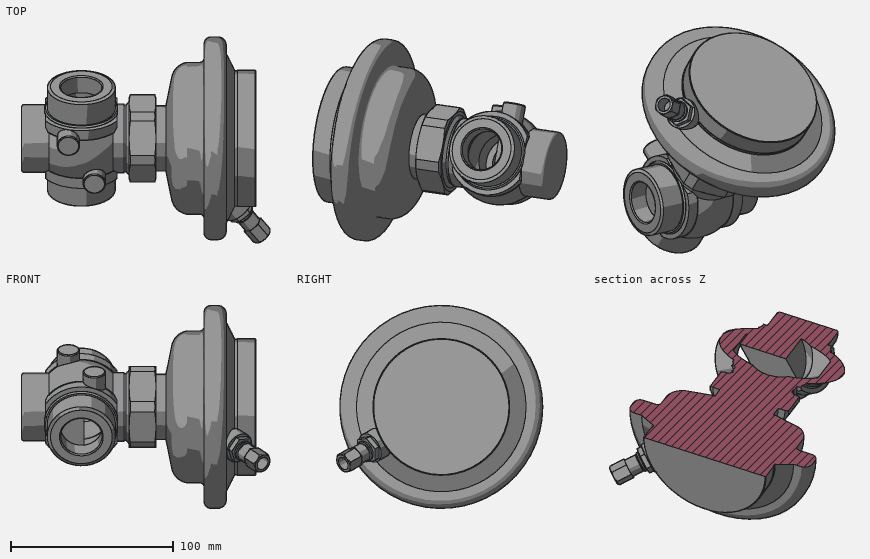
import cadquery as cq
import math

BRANCH_TILT = 30.0
tilt = math.radians(BRANCH_TILT)
BRANCH_DIR = cq.Vector(0, -math.cos(tilt), -math.sin(tilt))
BOSS_DIR = cq.Vector(0, -math.sin(tilt), math.cos(tilt))
X_DIR = cq.Vector(1, 0, 0)

BODY_RADIUS = 29.0
PORT_REACH = 36.9
PORT_RADIUS = 21.0
CAP_FILLET = 1.8
COLLAR_RADIUS = 26.0
COLLAR_INNER = 13.5
COLLAR_OUTER = 20.5
COLLAR_HALF_WIDTH = 22.0
SHOULDER_BASE_RADIUS = 23.0
SHOULDER_TOP_RADIUS = 22.0
SHOULDER_END = 21.6
PORT_CHAMFER_AXIAL = 0.8
PORT_CHAMFER_RADIAL = 2.0
BORE_RADIUS = 12.7
BORE_CHAMFER = 0.8
CHAMBER_RADIUS = 19.9
COUNTERBORE_RADIUS = 16.9
LIP_START = 25.1
SEAT_WALL_EDGE = 1.7
SEAT_WALL_FRONT = 24.5
SEAT_WALL_BACK = -3.0

BOSS_RADIUS = 6.9
BOSS_HEIGHT = 33.0
BOSS_X = 8.0
BOSS_OFFSET = 13.5
BOSS_CHAMFER = 0.6

NECK_RADIUS = 21.3
NECK_END = 26.2
GROOVE_RADIUS = 20.7
GROOVE_END = 27.5
NUT_START = 29.4
NUT_END = 46.0
NUT_SEAT_RADIUS = 22.7
NUT_FLATS = 50.0
NUT_TURN = 30.0
NUT_CORNER_FLATS = 54.0
NUT_CHAMFER_AXIAL = 1.0
NUT_CHAMFER_RADIUS = 24.8
STEM_RADIUS = 20.2

CASING_START = 52.2
CONE_START_RADIUS = 21.1
CONE_END = 55.6
CONE_END_RADIUS = 37.7
DOME_RADIUS = 46.9
DOME_END = 65.1
RIM_START = 75.5
RIM_END = 89.3
RIM_RADIUS = 125.2 / 2
RIM_FRONT_FILLET = 4.5
RIM_BACK_FILLET = 5.4
ROOT_FILLET = 2.5
BACK_CONE_RADIUS = 52.2
BACK_CONE_END = 94.4
COVER_RADIUS = 42.1
COVER_END = 107.5
COVER_CHAMFER = 0.5
COVER_GROOVE_RADIUS = 41.8
COVER_GROOVE_END = 96.0

NIPPLE_ANGLE = 53.0
NIPPLE_TIP_X = 111.7
NIPPLE_TIP_REACH = 69.7
NIPPLE_HEX_RADIUS = 6.6
NIPPLE_HEX_TURN = -16.0
NIPPLE_HEX_LENGTH = 10.5
NIPPLE_TIP_CHAMFER = 0.9
NIPPLE_BARREL_RADIUS = 5.7
NIPPLE_BARREL_END = 18.0
NIPPLE_NECK_RADIUS = 4.9
NIPPLE_RING_RADIUS = 6.5
NIPPLE_RING_START = 18.7
NIPPLE_RING_END = 19.9
NIPPLE_NUT_RADIUS = 8.6
NIPPLE_NUT_START = 20.5
NIPPLE_BASE_RADIUS = 9.5
NIPPLE_BASE_START = 23.9
NIPPLE_BASE_END = 32.2
NIPPLE_BORE_RADIUS = 4.1
NIPPLE_BORE_DEPTH = 9.2


def revolve_about_x(profile):
    """Turn a closed XY profile once around the X axis."""
    return profile.close().revolve(360, (0, 0, 0), (1, 0, 0))


def plane_along(direction, origin=cq.Vector(0, 0, 0)):
    """Workplane through origin, normal to direction, with local x near global X."""
    return cq.Workplane(cq.Plane(origin=origin, xDir=X_DIR, normal=direction))


def collar_disc(side):
    disc = (
        plane_along(BRANCH_DIR * side)
        .workplane(offset=COLLAR_INNER)
        .circle(COLLAR_RADIUS)
        .extrude(COLLAR_OUTER - COLLAR_INNER)
    )
    trim = cq.Workplane("XY").box(2 * COLLAR_HALF_WIDTH, 2 * PORT_REACH, 2 * PORT_REACH)
    return disc.intersect(trim)


def branch(side):
    """Shoulder and threaded end of one pipe branch."""
    shoulder_step = SHOULDER_BASE_RADIUS - SHOULDER_TOP_RADIUS
    cone_start = SHOULDER_END - shoulder_step
    profile = (
        cq.Workplane("XY")
        .moveTo(0, 0)
        .lineTo(0, PORT_RADIUS)
        .lineTo(COLLAR_OUTER, PORT_RADIUS)
        .lineTo(COLLAR_OUTER, SHOULDER_BASE_RADIUS)
        .lineTo(cone_start, SHOULDER_BASE_RADIUS)
        .lineTo(SHOULDER_END, SHOULDER_TOP_RADIUS)
        .lineTo(SHOULDER_END, PORT_RADIUS)
        .lineTo(PORT_REACH - PORT_CHAMFER_AXIAL, PORT_RADIUS)
        .lineTo(PORT_REACH, PORT_RADIUS - PORT_CHAMFER_RADIAL)
        .lineTo(PORT_REACH, 0)
    )
    turned = revolve_about_x(profile)
    along_minus_y = turned.rotate((0, 0, 0), (0, 0, 1), -90 * side)
    return along_minus_y.rotate((0, 0, 0), (1, 0, 0), BRANCH_TILT)


def boss(side):
    """Boss on the body; side +1 is the boss nearer the -Y branch."""
    centre = X_DIR * (BOSS_X * side) + BRANCH_DIR * (BOSS_OFFSET * side)
    return (
        plane_along(BOSS_DIR, centre)
        .circle(BOSS_RADIUS)
        .extrude(BOSS_HEIGHT)
        .faces(cq.selectors.DirectionMinMaxSelector(BOSS_DIR, True))
        .chamfer(BOSS_CHAMFER)
    )


def flow_passage():
    """Branch bores and the round chamber between, less the half wall left standing inside."""
    bore = plane_along(BRANCH_DIR).circle(BORE_RADIUS).extrude(PORT_REACH, both=True)
    for side in (1, -1):
        mouth = (
            plane_along(BRANCH_DIR * side, BRANCH_DIR * (side * (PORT_REACH - BORE_CHAMFER)))
            .circle(BORE_RADIUS)
            .workplane(offset=BORE_CHAMFER)
            .circle(BORE_RADIUS + BORE_CHAMFER)
            .loft()
        )
        bore = bore.union(mouth)
    wall = (
        plane_along(BRANCH_DIR, BRANCH_DIR * SEAT_WALL_BACK)
        .center(SEAT_WALL_EDGE - BODY_RADIUS / 2, 0)
        .rect(BODY_RADIUS, 2 * BODY_RADIUS)
        .extrude(SEAT_WALL_FRONT - SEAT_WALL_BACK)
    )
    counterbore = plane_along(BRANCH_DIR).circle(COUNTERBORE_RADIUS).extrude(LIP_START, both=True)
    chamber = cq.Workplane("XY").sphere(CHAMBER_RADIUS)
    return bore.union(counterbore).union(chamber).cut(wall)


def valve_body():
    cap = (
        cq.Workplane("YZ")
        .circle(PORT_RADIUS)
        .extrude(-PORT_REACH)
        .faces("<X")
        .edges()
        .fillet(CAP_FILLET)
    )
    body = cq.Workplane("XY").sphere(BODY_RADIUS)
    trim = cq.Workplane("XY").box(2 * COLLAR_HALF_WIDTH, 4 * BODY_RADIUS, 4 * BODY_RADIUS)
    body = body.intersect(trim).union(cap)
    for side in (1, -1):
        body = body.union(collar_disc(side)).union(branch(side)).union(boss(side))
    return body


def neck_and_stem():
    profile = (
        cq.Workplane("XY")
        .moveTo(0, 0)
        .lineTo(0, NECK_RADIUS)
        .lineTo(NECK_END, NECK_RADIUS)
        .lineTo(NECK_END, GROOVE_RADIUS)
        .lineTo(GROOVE_END, GROOVE_RADIUS)
        .lineTo(NUT_START, NUT_SEAT_RADIUS)
        .lineTo(NUT_START, STEM_RADIUS)
        .lineTo(CASING_START, STEM_RADIUS)
        .lineTo(CASING_START, 0)
    )
    return revolve_about_x(profile)


def union_nut():
    """Hexagon with its corners cut flat and both ends turned to a chamfer."""
    length = NUT_END - NUT_START
    base = cq.Workplane("YZ").workplane(offset=NUT_START)
    corner_cut = base.polygon(6, NUT_CORNER_FLATS, circumscribed=True).extrude(length)
    hexagon = (
        base.transformed(rotate=(0, 0, NUT_TURN))
        .polygon(6, NUT_FLATS, circumscribed=True)
        .extrude(length)
    )
    outer = NUT_CORNER_FLATS / 2 + NUT_CHAMFER_AXIAL
    turned = revolve_about_x(
        cq.Workplane("XY")
        .moveTo(NUT_START, 0)
        .lineTo(NUT_START, NUT_CHAMFER_RADIUS)
        .lineTo(NUT_START + NUT_CHAMFER_AXIAL, outer)
        .lineTo(NUT_END - NUT_CHAMFER_AXIAL, outer)
        .lineTo(NUT_END, NUT_CHAMFER_RADIUS)
        .lineTo(NUT_END, 0)
    )
    return hexagon.intersect(corner_cut).intersect(turned)


def casing():
    profile = (
        cq.Workplane("XY")
        .moveTo(CASING_START, 0)
        .lineTo(CASING_START, CONE_START_RADIUS)
        .lineTo(CONE_END, CONE_END_RADIUS)
        .tangentArcPoint((DOME_END, DOME_RADIUS), relative=False)
        .lineTo(RIM_START - ROOT_FILLET, DOME_RADIUS)
        .radiusArc((RIM_START, DOME_RADIUS + ROOT_FILLET), -ROOT_FILLET)
        .lineTo(RIM_START, RIM_RADIUS - RIM_FRONT_FILLET)
        .radiusArc((RIM_START + RIM_FRONT_FILLET, RIM_RADIUS), RIM_FRONT_FILLET)
        .lineTo(RIM_END - RIM_BACK_FILLET, RIM_RADIUS)
        .radiusArc((RIM_END, RIM_RADIUS - RIM_BACK_FILLET), RIM_BACK_FILLET)
        .lineTo(RIM_END, BACK_CONE_RADIUS)
        .lineTo(BACK_CONE_END, COVER_RADIUS)
        .lineTo(BACK_CONE_END, COVER_GROOVE_RADIUS)
        .lineTo(COVER_GROOVE_END, COVER_GROOVE_RADIUS)
        .lineTo(COVER_GROOVE_END, COVER_RADIUS)
        .lineTo(COVER_END - COVER_CHAMFER, COVER_RADIUS)
        .lineTo(COVER_END, COVER_RADIUS - COVER_CHAMFER)
        .lineTo(COVER_END, 0)
    )
    return revolve_about_x(profile)


def nipple_frame():
    """Plane at the nipple tip, facing back along its axis into the casing."""
    angle = math.radians(NIPPLE_ANGLE)
    axis = X_DIR * math.cos(angle) + BRANCH_DIR * math.sin(angle)
    tip = X_DIR * NIPPLE_TIP_X + BRANCH_DIR * NIPPLE_TIP_REACH
    return cq.Workplane(cq.Plane(origin=tip, xDir=BOSS_DIR, normal=axis * -1))


def nipple():
    frame = nipple_frame()

    def disc(radius, start, end):
        return frame.workplane(offset=start).circle(radius).extrude(end - start)

    tip_radius = NIPPLE_HEX_RADIUS - NIPPLE_TIP_CHAMFER
    tip_cone = (
        frame.circle(tip_radius)
        .workplane(offset=NIPPLE_HEX_LENGTH)
        .circle(tip_radius + NIPPLE_HEX_LENGTH)
        .loft()
    )
    hexagon = (
        frame.transformed(rotate=(0, 0, NIPPLE_HEX_TURN))
        .polygon(6, 2 * NIPPLE_HEX_RADIUS)
        .extrude(NIPPLE_HEX_LENGTH)
        .intersect(tip_cone)
    )
    nut = (
        frame.workplane(offset=NIPPLE_NUT_START)
        .transformed(rotate=(0, 0, NIPPLE_HEX_TURN))
        .polygon(6, 2 * NIPPLE_NUT_RADIUS)
        .extrude(NIPPLE_BASE_START - NIPPLE_NUT_START)
    )
    return (
        hexagon
        .union(disc(NIPPLE_BARREL_RADIUS, NIPPLE_HEX_LENGTH, NIPPLE_BARREL_END))
        .union(disc(NIPPLE_NECK_RADIUS, NIPPLE_HEX_LENGTH, NIPPLE_BASE_START))
        .union(disc(NIPPLE_RING_RADIUS, NIPPLE_RING_START, NIPPLE_RING_END))
        .union(nut)
        .union(disc(NIPPLE_BASE_RADIUS, NIPPLE_BASE_START, NIPPLE_BASE_END))
        .cut(disc(NIPPLE_BORE_RADIUS, 0, NIPPLE_BORE_DEPTH))
    )


result = (
    valve_body()
    .union(neck_and_stem())
    .cut(flow_passage())
    .union(union_nut())
    .union(casing())
    .union(nipple())
)